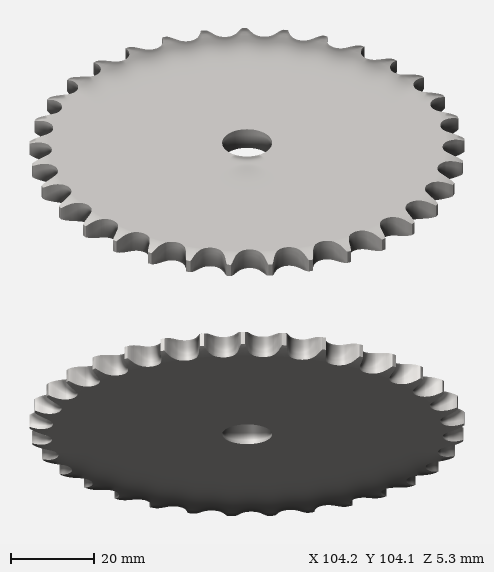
import cadquery as cq
import math

TOOTH_COUNT = 33
PITCH_DIAMETER = 100.3
TIP_DIAMETER = 104.3
THICKNESS = 5.3
BORE_DIAMETER = 12.0
FLAT_FACE_DIAMETER = 95.6
TOOTH_SIDE_RADIUS = 9.5
ROLLER_DIAMETER = 6.4
SEAT_CLEARANCE = 0.04

FIRST_GAP_ANGLE = 90
CUT_CLEARANCE = 1

SEAT_FACTOR = 0.5025
WORKING_CENTRE_FACTOR = 0.8
TOPPING_CENTRE_FACTOR = 1.4
SEAT_END_BASE_ANGLE = 35
SEAT_END_CORRECTION = 60
WORKING_SWEEP_BASE_ANGLE = 18
WORKING_SWEEP_CORRECTION = 56

TOOTH_STEP = 360 / TOOTH_COUNT
PITCH_RADIUS = PITCH_DIAMETER / 2
TIP_RADIUS = TIP_DIAMETER / 2
SEAT_RADIUS = SEAT_FACTOR * ROLLER_DIAMETER + SEAT_CLEARANCE
ROOT_RADIUS = PITCH_RADIUS - SEAT_RADIUS
SEAT_END_ANGLE = SEAT_END_BASE_ANGLE + SEAT_END_CORRECTION / TOOTH_COUNT
WORKING_SWEEP_ANGLE = WORKING_SWEEP_BASE_ANGLE - WORKING_SWEEP_CORRECTION / TOOTH_COUNT


def make_blank():
    """Revolve the disc section, with convex tooth sides that start tangent to the flat faces."""
    half_thickness = THICKNESS / 2
    bore_radius = BORE_DIAMETER / 2
    flat_radius = FLAT_FACE_DIAMETER / 2

    def side_height(radius):
        drop = TOOTH_SIDE_RADIUS - math.sqrt(TOOTH_SIDE_RADIUS**2 - (radius - flat_radius) ** 2)
        return half_thickness - drop

    middle_radius = (flat_radius + TIP_RADIUS) / 2
    middle_height = side_height(middle_radius)
    tip_height = side_height(TIP_RADIUS)
    section = (
        cq.Workplane("XZ")
        .moveTo(bore_radius, -half_thickness)
        .lineTo(flat_radius, -half_thickness)
        .threePointArc((middle_radius, -middle_height), (TIP_RADIUS, -tip_height))
        .lineTo(TIP_RADIUS, tip_height)
        .threePointArc((middle_radius, middle_height), (flat_radius, half_thickness))
        .lineTo(bore_radius, half_thickness)
        .close()
    )
    return section.revolve(360, (0, 0, 0), (0, 1, 0))


def offset_point(start, distance, angle):
    """Move from a point, at an angle in degrees leaning inward (-X) from the +Y direction."""
    x = start[0] - distance * math.sin(math.radians(angle))
    y = start[1] + distance * math.cos(math.radians(angle))
    return x, y


def mirrored(point):
    """Reflect a point to the other side of the gap centreline."""
    return point[0], -point[1]


def make_gap_cutter():
    """Build one tooth gap, centred on +X: seat, concave working faces, short flats, convex tips."""
    roller_centre = (PITCH_RADIUS, 0)
    seat_end = offset_point(roller_centre, SEAT_RADIUS, SEAT_END_ANGLE)

    working_centre_distance = WORKING_CENTRE_FACTOR * ROLLER_DIAMETER
    working_radius = working_centre_distance + SEAT_RADIUS
    working_centre = offset_point(roller_centre, -working_centre_distance, SEAT_END_ANGLE)
    flat_angle = SEAT_END_ANGLE - WORKING_SWEEP_ANGLE
    working_middle = offset_point(working_centre, working_radius, (SEAT_END_ANGLE + flat_angle) / 2)
    working_end = offset_point(working_centre, working_radius, flat_angle)

    topping_centre = offset_point(roller_centre, TOPPING_CENTRE_FACTOR * ROLLER_DIAMETER, TOOTH_STEP / 2)
    across_x = topping_centre[0] - working_end[0]
    across_y = topping_centre[1] - working_end[1]
    flat_lean = math.radians(flat_angle)
    topping_radius = across_y * math.cos(flat_lean) - across_x * math.sin(flat_lean)
    flat_end = offset_point(topping_centre, -topping_radius, flat_angle)

    def topping_point(x):
        y = topping_centre[1] - math.sqrt(topping_radius**2 - (x - topping_centre[0]) ** 2)
        return x, y

    outer_x = TIP_RADIUS + CUT_CLEARANCE
    topping_middle = topping_point((flat_end[0] + outer_x) / 2)
    topping_end = topping_point(outer_x)

    outline = (
        cq.Workplane("XY", origin=(0, 0, -THICKNESS))
        .moveTo(*mirrored(topping_end))
        .threePointArc(mirrored(topping_middle), mirrored(flat_end))
        .lineTo(*mirrored(working_end))
        .threePointArc(mirrored(working_middle), mirrored(seat_end))
        .threePointArc((ROOT_RADIUS, 0), seat_end)
        .threePointArc(working_middle, working_end)
        .lineTo(*flat_end)
        .threePointArc(topping_middle, topping_end)
        .close()
    )
    return outline.extrude(2 * THICKNESS)


def cut_teeth(blank):
    """Cut all the tooth gaps around the rim."""
    gap = make_gap_cutter()
    cutters = []
    for index in range(TOOTH_COUNT):
        angle = FIRST_GAP_ANGLE + index * TOOTH_STEP
        cutters.append(gap.rotate((0, 0, 0), (0, 0, 1), angle).val())
    return blank.cut(cq.Compound.makeCompound(cutters))


result = cut_teeth(make_blank())